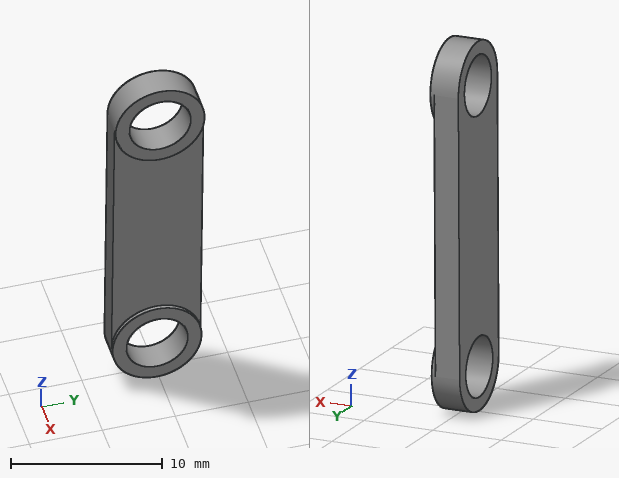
import cadquery as cq
import math

total_height = 25.65
total_width = 6.3
eye_thickness = 2.05
web_thickness = 1.77

eye_diameter = 6.1
hole_diameter = 4.2

eye_rise = total_height - eye_diameter
eye_shift = total_width - eye_diameter
eye_spacing = math.hypot(eye_rise, eye_shift)
lean_angle = math.degrees(math.atan2(eye_shift, eye_rise))


def link_plane():
    """Workplane on the flat X = 0 face, with its local y axis along the leaning link."""
    return cq.Workplane("YZ").transformed(rotate=(0, 0, -lean_angle))


def cylinders(diameter):
    """Full-thickness cylinders along X, one at each eye center."""
    eye_centers = [(0, -eye_spacing / 2), (0, eye_spacing / 2)]
    return link_plane().pushPoints(eye_centers).circle(diameter / 2).extrude(eye_thickness)


web = link_plane().rect(eye_diameter, eye_spacing).extrude(web_thickness)

link = web.union(cylinders(eye_diameter))

result = link.cut(cylinders(hole_diameter))